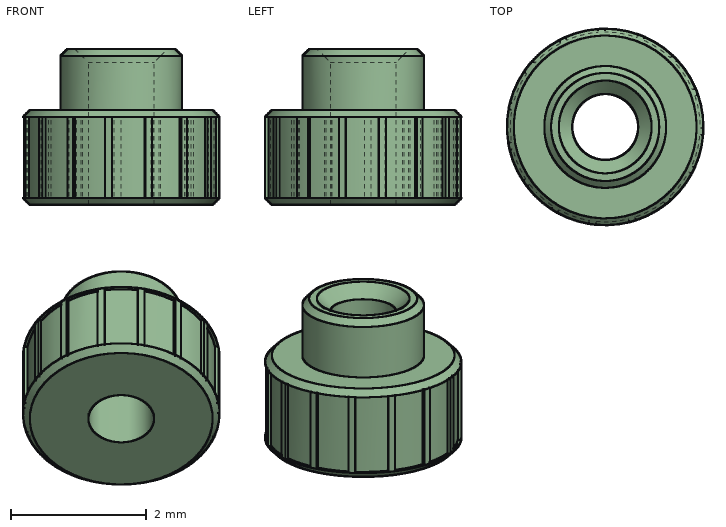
import cadquery as cq
import math

body_diameter = 2.9
body_radius = body_diameter / 2
body_height = 1.4
neck_diameter = 1.798
total_height = 2.3
chamfer_size = 0.102

bore_diameter = 0.97
lead_in_diameter = 1.37
lead_in_depth = (lead_in_diameter - bore_diameter) / 2

recess_count = 15
recess_depth = 0.05
recess_arc_length = 0.5
rib_arc_length = 0.102
first_recess_angle = 145.9


def chamfered_cylinder(diameter, bottom, top):
    """Vertical cylinder between two heights with a chamfered upper rim."""
    cylinder = cq.Workplane("XY").workplane(offset=bottom).circle(diameter / 2).extrude(top - bottom)
    return cylinder.faces(">Z").edges().chamfer(chamfer_size)


def polar_point(radius, angle):
    """Point at a radius and an angle in radians."""
    return (radius * math.cos(angle), radius * math.sin(angle))


def grip_recess(start_angle, sweep):
    """Cutter for one recess, between the body chamfers; angles in radians."""
    floor_radius = body_radius - recess_depth
    outer_radius = body_radius + recess_depth
    middle_angle = start_angle + sweep / 2
    end_angle = start_angle + sweep
    return (
        cq.Workplane("XY")
        .workplane(offset=chamfer_size)
        .moveTo(*polar_point(floor_radius, start_angle))
        .threePointArc(polar_point(floor_radius, middle_angle), polar_point(floor_radius, end_angle))
        .lineTo(*polar_point(outer_radius, end_angle))
        .threePointArc(polar_point(outer_radius, middle_angle), polar_point(outer_radius, start_angle))
        .close()
        .extrude(body_height - 2 * chamfer_size)
    )


body = chamfered_cylinder(body_diameter, 0, body_height)
body = body.faces("<Z").edges().chamfer(chamfer_size)
neck = chamfered_cylinder(neck_diameter, body_height, total_height)
result = body.union(neck)

bore = cq.Workplane("XY").circle(bore_diameter / 2).extrude(total_height)
lead_in = (
    cq.Workplane("XY")
    .workplane(offset=total_height - lead_in_depth)
    .circle(bore_diameter / 2)
    .workplane(offset=lead_in_depth)
    .circle(lead_in_diameter / 2)
    .loft(ruled=True)
)
result = result.cut(bore).cut(lead_in)

recess_sweep = recess_arc_length / body_radius
recess_pitch = (recess_arc_length + rib_arc_length) / body_radius
for index in range(recess_count):
    start_angle = math.radians(first_recess_angle) + index * recess_pitch
    result = result.cut(grip_recess(start_angle, recess_sweep))